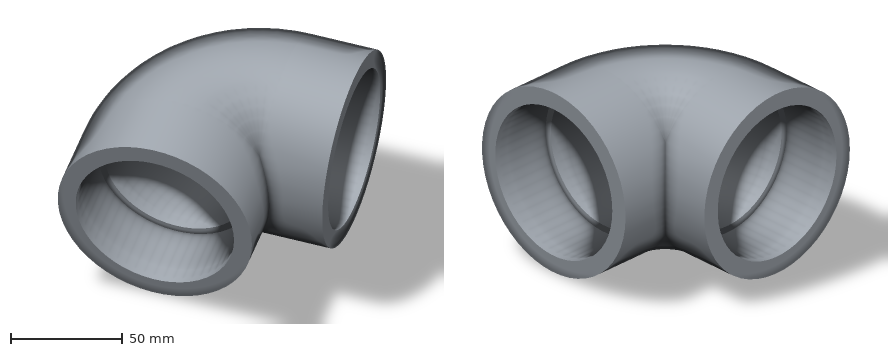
import cadquery as cq

overall_length = 117.0
outer_diameter = 92.0
socket_diameter = 75.0
bore_diameter = 68.3
collar_length = 31.8
socket_depth = collar_length

outer_radius = outer_diameter / 2
bend_radius = overall_length - collar_length - outer_radius
bend_angle = 90


def straight_runs(diameter, length):
    """Cylinders running from the two ends of the bend towards -Y and +X."""
    y_run = cq.Workplane("XZ").center(-bend_radius, 0).circle(diameter / 2).extrude(length)
    x_run = cq.Workplane("YZ").center(bend_radius, 0).circle(diameter / 2).extrude(length)
    return y_run.union(x_run)


def bend_body():
    """Outer bend: only the part of the tube section on the far side of the turning axis."""
    axis_half_chord = (outer_radius**2 - bend_radius**2) ** 0.5
    return (
        cq.Workplane("XZ")
        .moveTo(0, axis_half_chord)
        .threePointArc((-bend_radius - outer_radius, 0), (0, -axis_half_chord))
        .close()
        .revolve(bend_angle, (0, 0, 0), (0, -1, 0))
    )


def bend_bore():
    """Curved passage joining the floors of the two sockets."""
    return (
        cq.Workplane("XZ")
        .center(-bend_radius, 0)
        .circle(bore_diameter / 2)
        .revolve(bend_angle, (bend_radius, 0, 0), (bend_radius, -1, 0))
    )


body = bend_body().union(straight_runs(outer_diameter, collar_length))
result = body.cut(bend_bore()).cut(straight_runs(socket_diameter, socket_depth))